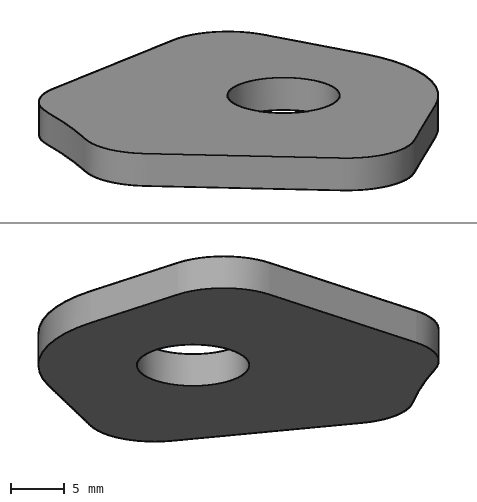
import cadquery as cq
import math

overall_width = 39.71
overall_length = 36.41
thickness = 3.17
hole_diameter = 10.41
crown_radius = 14.35
corner_radius = 6.35
side_corner_y = 0.38
base_corner_x = 4.9
base_hollow_radius = 50.8

crown_center = (0, 0)
side_center = (overall_width / 2 - corner_radius, side_corner_y)
base_center = (base_corner_x, crown_radius - overall_length + corner_radius)

hollow_center_distance = base_hollow_radius + corner_radius
hollow_center_y = base_center[1] - math.sqrt(hollow_center_distance**2 - base_corner_x**2)
hollow_apex = (0, hollow_center_y + base_hollow_radius)


def point_on_circle(center, radius, angle):
    return (center[0] + radius * math.cos(angle), center[1] + radius * math.sin(angle))


def tangent_normal_angle(start, start_radius, end, end_radius):
    """Angle of the outward normal of the line touching two circles taken clockwise."""
    dx = end[0] - start[0]
    dy = end[1] - start[1]
    return math.atan2(dy, dx) + math.acos((start_radius - end_radius) / math.hypot(dx, dy))


def mirrored(point):
    return (-point[0], point[1])


def make_outline():
    shoulder_angle = tangent_normal_angle(crown_center, crown_radius, side_center, corner_radius)
    flank_angle = tangent_normal_angle(side_center, corner_radius, base_center, corner_radius)
    hollow_angle = math.atan2(hollow_center_y - base_center[1], -base_corner_x)

    crown_top = (0, crown_radius)
    crown_end = point_on_circle(crown_center, crown_radius, shoulder_angle)
    side_start = point_on_circle(side_center, corner_radius, shoulder_angle)
    side_middle = point_on_circle(side_center, corner_radius, (shoulder_angle + flank_angle) / 2)
    side_end = point_on_circle(side_center, corner_radius, flank_angle)
    base_start = point_on_circle(base_center, corner_radius, flank_angle)
    base_middle = point_on_circle(base_center, corner_radius, (flank_angle + hollow_angle) / 2)
    base_end = point_on_circle(base_center, corner_radius, hollow_angle)

    return (
        cq.Workplane("XY")
        .moveTo(*mirrored(crown_end))
        .threePointArc(crown_top, crown_end)
        .lineTo(*side_start)
        .threePointArc(side_middle, side_end)
        .lineTo(*base_start)
        .threePointArc(base_middle, base_end)
        .threePointArc(hollow_apex, mirrored(base_end))
        .threePointArc(mirrored(base_middle), mirrored(base_start))
        .lineTo(*mirrored(side_end))
        .threePointArc(mirrored(side_middle), mirrored(side_start))
        .close()
    )


def cut_hole(plate):
    return plate.faces(">Z").workplane(origin=(0, 0, thickness)).hole(hole_diameter)


result = cut_hole(make_outline().extrude(thickness))